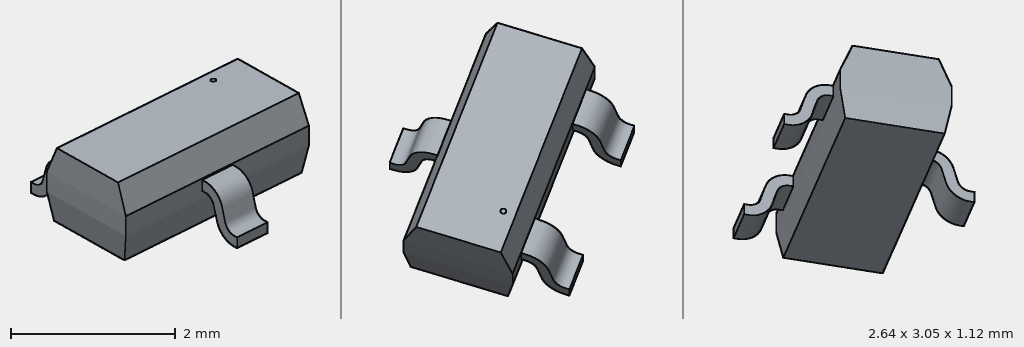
import cadquery as cq
import math

span_x = 2.64
length_y = 3.05
total_height = 1.12

housing_width = 1.403
housing_bottom = 0.03
taper_height = 0.403
belt_bottom = housing_bottom + taper_height
belt_top = total_height - taper_height
top_width = 1.085
top_length = 3.01
bottom_width = 1.25
bottom_length = 2.952

lead_width = 0.51
lead_thickness = 0.155
lead_top = 0.695
lead_offset_y = 0.952
foot_flat = 0.055
bend_inner_radius = 0.16
bend_outer_radius = bend_inner_radius + lead_thickness
lean_from_vertical = 16.0

marker_diameter = 0.07
marker_depth = 0.015
marker_x = -0.385
marker_y = lead_offset_y


def make_marker():
    return (
        cq.Workplane("XY", origin=(marker_x, marker_y, total_height - marker_depth))
        .circle(marker_diameter / 2)
        .extrude(marker_depth)
    )


def tapered_half(belt_z, end_z, end_width, end_length):
    """Loft from the belt outline to the smaller end face."""
    return (
        cq.Workplane("XY", origin=(0, 0, belt_z))
        .rect(housing_width, length_y)
        .workplane(offset=end_z - belt_z)
        .rect(end_width, end_length)
        .loft(ruled=True)
    )


def make_housing(marker):
    belt = (
        cq.Workplane("XY", origin=(0, 0, belt_bottom))
        .rect(housing_width, length_y)
        .extrude(belt_top - belt_bottom)
    )
    upper = tapered_half(belt_top, total_height, top_width, top_length)
    lower = tapered_half(belt_bottom, housing_bottom, bottom_width, bottom_length)
    return belt.union(upper).union(lower).cut(marker)


def make_lead(center_y):
    """Gull-wing lead on the -X side, ending flush against the housing belt."""
    lean = math.radians(lean_from_vertical)
    tip_x = -span_x / 2
    root_x = -housing_width / 2

    foot_x = tip_x + foot_flat
    foot_z = lead_thickness + bend_inner_radius
    shoulder_z = lead_top - bend_outer_radius
    radius_sum = bend_inner_radius + bend_outer_radius
    slope_length = (shoulder_z - foot_z + radius_sum * math.sin(lean)) / math.cos(lean)
    shoulder_x = foot_x + radius_sum * math.cos(lean) + slope_length * math.sin(lean)

    def on_foot_bend(radius, angle):
        return (foot_x + radius * math.cos(angle), foot_z + radius * math.sin(angle))

    def on_shoulder_bend(radius, angle):
        return (shoulder_x - radius * math.cos(angle), shoulder_z - radius * math.sin(angle))

    slope_angle = -lean
    flat_angle = -math.pi / 2
    middle_angle = (slope_angle + flat_angle) / 2

    profile = (
        cq.Workplane("XZ", origin=(0, center_y + lead_width / 2, 0))
        .moveTo(tip_x, 0)
        .lineTo(foot_x, 0)
        .threePointArc(
            on_foot_bend(bend_outer_radius, middle_angle),
            on_foot_bend(bend_outer_radius, slope_angle),
        )
        .lineTo(*on_shoulder_bend(bend_inner_radius, slope_angle))
        .threePointArc(
            on_shoulder_bend(bend_inner_radius, middle_angle),
            on_shoulder_bend(bend_inner_radius, flat_angle),
        )
        .lineTo(root_x, lead_top - lead_thickness)
        .lineTo(root_x, lead_top)
        .lineTo(shoulder_x, lead_top)
        .threePointArc(
            on_shoulder_bend(bend_outer_radius, middle_angle),
            on_shoulder_bend(bend_outer_radius, slope_angle),
        )
        .lineTo(*on_foot_bend(bend_inner_radius, slope_angle))
        .threePointArc(
            on_foot_bend(bend_inner_radius, middle_angle),
            on_foot_bend(bend_inner_radius, flat_angle),
        )
        .lineTo(tip_x, lead_thickness)
        .close()
    )
    return profile.extrude(lead_width)


lead_places = [(-lead_offset_y, 0), (lead_offset_y, 0), (0, 180)]

marker = make_marker()
housing = make_housing(marker)
leads = []
for center_y, turn in lead_places:
    lead = make_lead(center_y).rotate((0, 0, 0), (0, 0, 1), turn)
    leads.append(lead.val())

result = cq.Compound.makeCompound([housing.val(), marker.val(), *leads])